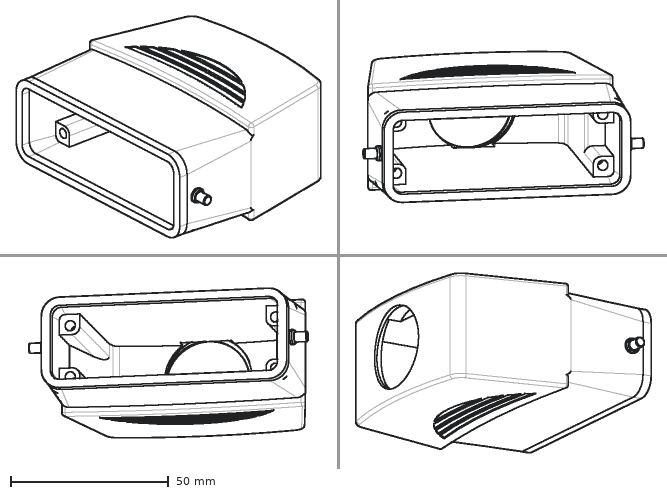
import cadquery as cq
import math


total_width = 90.0
total_length = 71.0
hood_height = 34.6

collar_width = 79.4
collar_height = 29.3
wall = 3.0
opening_width = collar_width - 2 * wall
opening_height = 23.9
rim_depth = 3.1
rim_radius = 5.9
collar_end_radius = 2.3
opening_radius = rim_radius - wall
cavity_end_radius = 0.2

hood_start = 29.8
front_rise = 2.8
taper = math.radians(12)
back_radius = 133.2
corner_radius = 4.9
cavity_corner_radius = 2.2
edge_radius = 1.1
collar_end = hood_start + front_rise + edge_radius

entry_radius = 13.5
bore_radius = 14.1
bore_offset = 0.5
bore_depth = 1.4

boss_start = 14.1
boss_end = total_length - 2 * wall
boss_inner_x = 30.15
boss_inner_z = 5.4
boss_corner_radius = 2.4
screw_x = 33.2
screw_z = 8.3
screw_radius = 1.6
screw_depth = 9.0

ledge_radius = 0.9

peg_y = 7.2
peg_radius = 1.6
peg_chamfer = 0.3
flange_radius = 2.4
flange_tip_radius = 2.1
flange_length = 1.3
flange_straight = 0.6

grip_depth = 0.4
grip_arch_radius = 33.7
grip_top = 50.9
grip_bottom = 38.0
grip_pitch = 3.4
grip_curve_radius = 180.0
ridge_width = 0.9
ridge_count = 3


def rounded_rectangle(width, height, radius):
    return cq.Sketch().rect(width, height).vertices().fillet(radius)


def rounded_bar(width, height, radius, start, end, end_radius):
    """Bar along +Y whose corner radius changes evenly from start to end."""
    first = rounded_rectangle(width, height, radius)
    last = rounded_rectangle(width, height, end_radius)
    last = last.moved(cq.Location(cq.Vector(0, 0, start - end)))
    plane = cq.Workplane("XZ", origin=(0, start, 0))
    return plane.placeSketch(first, last).loft(ruled=True)


def block(x_min, x_max, y_min, y_max, z_min, z_max):
    corner = (x_min, y_min, z_min)
    size = (x_max - x_min, y_max - y_min, z_max - z_min)
    return cq.Workplane("XY").box(*size, centered=False).translate(corner)


def hood_prism(inset, height, back_corner_radius, front_arch):
    """Tapered prism with an arched back, inset from the hood's outer faces."""
    front_x = collar_width / 2 - inset / math.cos(taper)
    radius = back_radius - inset
    arc_centre_y = total_length - back_radius
    side_x = math.cos(taper)
    side_y = math.sin(taper)
    side_distance = front_x * side_x + (hood_start - arc_centre_y) * side_y
    along = math.sqrt(radius**2 - side_distance**2)
    back_x = side_distance * side_x - along * side_y
    back_y = arc_centre_y + side_distance * side_y + along * side_x

    outline = (
        cq.Workplane("XY", origin=(0, 0, -height / 2))
        .moveTo(front_x, hood_start)
        .lineTo(back_x, back_y)
        .threePointArc((0, total_length - inset), (-back_x, back_y))
        .lineTo(-front_x, hood_start)
    )
    if front_arch:
        outline = outline.threePointArc((0, hood_start + front_rise), (front_x, hood_start))
    prism = outline.close().extrude(height)
    return prism.edges("|Z").edges(">Y").fillet(back_corner_radius)


def make_hood():
    hood = hood_prism(0, hood_height, corner_radius, True)
    front_corners = hood.edges("|Z").edges("<Y")
    return hood.faces("|Z").edges().add(front_corners).fillet(edge_radius)


def make_collar():
    """Collar running under the arched front edge, trimmed to the hood's side walls."""
    collar = rounded_bar(
        collar_width, collar_height, rim_radius, rim_depth, collar_end, collar_end_radius
    )
    half = collar_width / 2
    straight_part = block(-half, half, rim_depth, hood_start, -half, half)
    limits = straight_part.union(hood_prism(0, hood_height, corner_radius, False))
    return collar.intersect(limits)


def make_cavity():
    collar_part = rounded_bar(
        opening_width, opening_height, opening_radius, rim_depth, hood_start, cavity_end_radius
    )
    return collar_part.union(hood_prism(wall, opening_height, cavity_corner_radius, False))


def make_cable_entry():
    inner_face = total_length - wall
    entry = (
        cq.Workplane("XZ", origin=(0, total_length, 0))
        .circle(entry_radius)
        .extrude(2 * wall)
    )
    bore = (
        cq.Workplane("XZ", origin=(bore_offset, inner_face + bore_depth, bore_offset))
        .circle(bore_radius)
        .extrude(2 * wall)
    )
    return entry.union(bore)


def make_boss(side_x, side_z):
    """Screw boss filling one corner of the cavity back to the leaning side wall."""
    boss = block(
        boss_inner_x, opening_width / 2, boss_start, boss_end,
        boss_inner_z, opening_height / 2,
    )
    boss = boss.edges("|Y and <X and <Z").fillet(boss_corner_radius)
    if side_x < 0:
        boss = boss.mirror("YZ")
    if side_z < 0:
        boss = boss.mirror("XY")
    return boss


def make_screw_holes():
    holes = cq.Workplane("XZ", origin=(0, boss_start, 0))
    holes = holes.rect(2 * screw_x, 2 * screw_z, forConstruction=True).vertices()
    return holes.circle(screw_radius).extrude(-screw_depth)


def make_ledge():
    """Thicker +X side wall between the bosses, starting at the front of the hood."""
    reach = boss_inner_z + boss_corner_radius
    ledge = block(
        boss_inner_x, opening_width / 2, hood_start, boss_end, -reach, reach
    )
    return ledge.edges("|Z and <X and <Y").fillet(ledge_radius)


def make_peg(side):
    """Locking peg with a conical flange, turned about the X axis."""
    base = collar_width / 2
    root = base - wall / 2
    tip = total_width / 2
    peg = (
        cq.Workplane("XY")
        .moveTo(root, 0)
        .lineTo(root, flange_radius)
        .lineTo(base + flange_straight, flange_radius)
        .lineTo(base + flange_length, flange_tip_radius)
        .lineTo(base + flange_length, peg_radius)
        .lineTo(tip - peg_chamfer, peg_radius)
        .lineTo(tip, peg_radius - peg_chamfer)
        .lineTo(tip, 0)
        .close()
        .revolve(360, (0, 0, 0), (1, 0, 0))
        .translate((0, peg_y, 0))
    )
    return peg if side > 0 else peg.mirror("YZ")


def make_grip():
    """Recess in the +Z face of the hood with its curved ridges left standing."""
    floor = cq.Workplane("XY", origin=(0, 0, hood_height / 2 - grip_depth))

    def disc(top, radius):
        return floor.center(0, top - radius).circle(radius).extrude(2 * grip_depth)

    grip = disc(grip_top, grip_arch_radius).cut(disc(grip_bottom, grip_curve_radius))
    for i in range(1, ridge_count + 1):
        ridge_top = grip_bottom + i * grip_pitch
        ridge = disc(ridge_top, grip_curve_radius).cut(
            disc(ridge_top - ridge_width, grip_curve_radius - ridge_width)
        )
        grip = grip.cut(ridge)
    return grip


def make_housing():
    cavity = make_cavity()
    fittings = make_ledge()
    for side_x in (-1, 1):
        for side_z in (-1, 1):
            fittings = fittings.union(make_boss(side_x, side_z))
    free_space = cavity.cut(fittings).union(make_screw_holes())

    housing = make_hood().union(make_collar())
    housing = housing.cut(free_space).cut(make_cable_entry())
    for side in (-1, 1):
        housing = housing.union(make_peg(side))
    grip = make_grip()
    return housing.cut(grip).cut(grip.mirror("XY"))


def make_rim():
    """Plain ring that closes the collar at the mating face."""
    outer = rounded_bar(collar_width, collar_height, rim_radius, 0, rim_depth, rim_radius)
    inner = rounded_bar(opening_width, opening_height, opening_radius, 0, rim_depth, opening_radius)
    return outer.cut(inner)


housing = make_housing()
rim = make_rim()

result = cq.Compound.makeCompound([housing.val(), rim.val()])